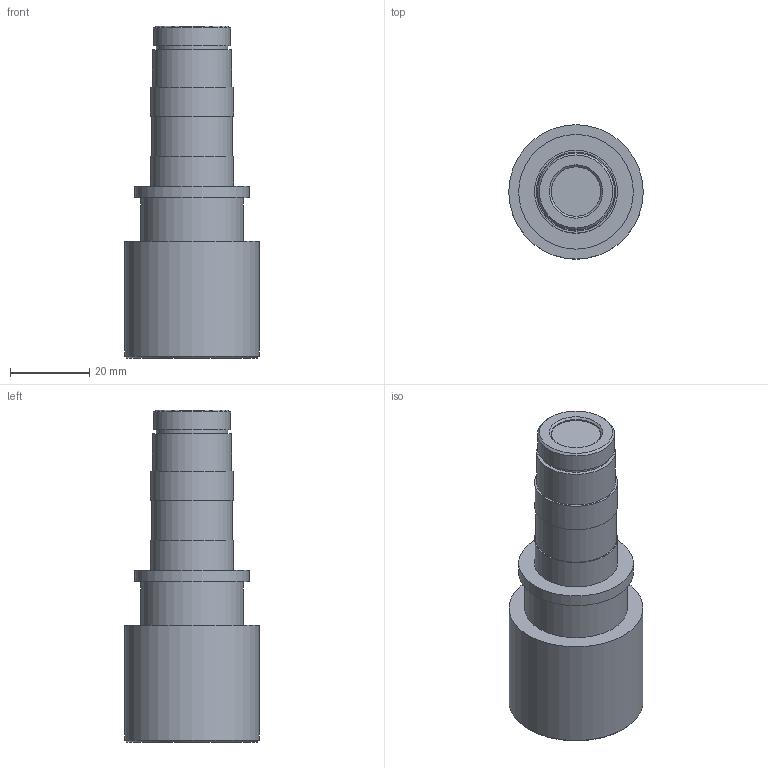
import cadquery as cq

total_length = 84.0

body_diameter = 34.0
neck_diameter = 26.0
flange_diameter = 29.0
land_diameter = 21.0
relief_diameter = 20.5
upper_diameter = 20.0
groove_diameter = 18.0
head_diameter = 19.5

body_length = 29.5
neck_length = 11.0
flange_length = 3.0
lower_land_length = 7.5
relief_length = 10.2
upper_land_length = 7.3
upper_length = 9.5
groove_length = 1.0

base_chamfer = 0.5
head_chamfer = 0.5

recess_diameter = 12.5
recess_depth = 0.8
recess_chamfer = 0.5


def make_shaft():
    """Stack the cylindrical steps, base on Z = 0, and break the two end edges."""
    steps = [
        (body_diameter, body_length),
        (neck_diameter, neck_length),
        (flange_diameter, flange_length),
        (land_diameter, lower_land_length),
        (relief_diameter, relief_length),
        (land_diameter, upper_land_length),
        (upper_diameter, upper_length),
        (groove_diameter, groove_length),
    ]
    head_length = total_length - sum(length for _, length in steps)
    steps.append((head_diameter, head_length))

    shaft = cq.Workplane("XY")
    base_z = 0.0
    for diameter, length in steps:
        step = cq.Workplane("XY", origin=(0, 0, base_z)).circle(diameter / 2).extrude(length)
        shaft = shaft.union(step)
        base_z += length

    shaft = shaft.faces("<Z").edges().chamfer(base_chamfer)
    return shaft.faces(">Z").edges().chamfer(head_chamfer)


def cut_recess(shaft):
    """Sink the flat-bottomed recess, with its chamfered mouth, into the top face."""
    radius = recess_diameter / 2
    mouth_radius = radius + recess_chamfer
    half_profile = [
        (0, total_length),
        (mouth_radius, total_length),
        (radius, total_length - recess_chamfer),
        (radius, total_length - recess_depth),
        (0, total_length - recess_depth),
    ]
    recess = cq.Workplane("XZ").polyline(half_profile).close().revolve(360, (0, 0), (0, 1))
    return shaft.cut(recess)


result = cut_recess(make_shaft())